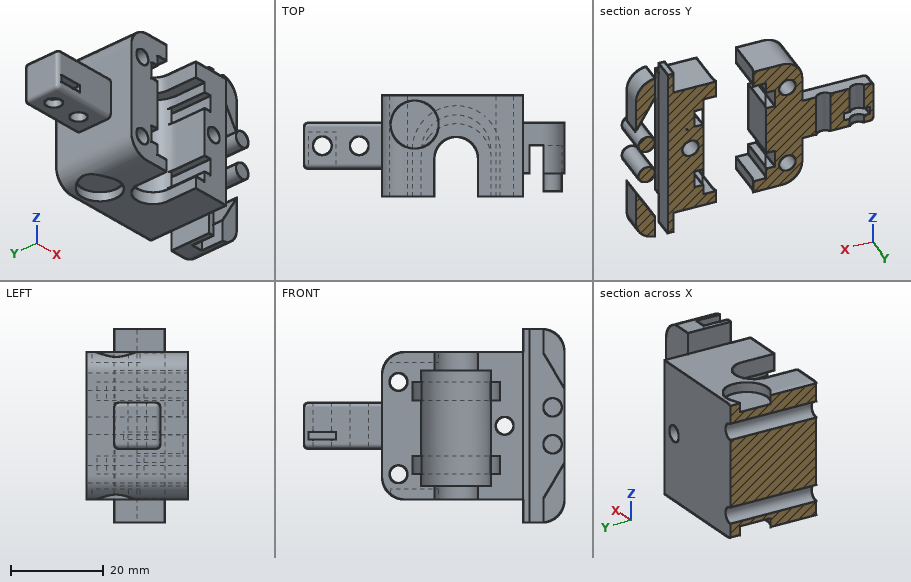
import cadquery as cq


body_length = 30.6
body_depth = 22.0
body_height = 32.0
body_corner_radius = 5.0
front_y = -body_depth / 2

bearing_x = 16.1
bearing_y = -2.8
bearing_z = -0.5
bearing_diameter = 15.2
bearing_length = 25.0
rod_clearance_diameter = 9.4

tie_outer_diameter = 19.0
tie_inner_diameter = 15.0
tie_back_offset = 2.0
tie_y = bearing_y + tie_back_offset
tie_width = 4.0
tie_spacing = 16.0

screw_diameter = 3.8
screw_left_x = 3.6
screw_spacing_x = 23.0
screw_right_x = screw_left_x + screw_spacing_x
screw_spacing_z = 20.0
screw_middle_z = bearing_z

pocket_diameter = 10.4
pocket_depth = 2.3
pocket_x = 7.1
pocket_y = 4.6

stem_length = 16.9
stem_size = 10.0
stem_edge_radius = 1.0
stem_hole_diameter = 4.0
stem_hole_tip_distance = 4.0
stem_hole_spacing = 8.0
stem_hole_count = 2
nut_slot_length = 6.0
nut_slot_height = 1.7
nut_slot_top_z = -1.3
nut_slot_depth = stem_size / 2 + nut_slot_length / 2

clamp_length = 9.0
clamp_height = 42.0
clamp_corner_radius = 5.0
clamp_back_y = 5.0
clamp_front_y = -6.0
clamp_floor_y = 0.1
clamp_wall = 1.4
belt_gap = 3.0
jaw_inner_z = 15.75
jaw_outer_z = 8.0
pin_diameter = 4.0
pin_front_y = -9.9
pin_spacing = 8.0
clamp_end_x = body_length + clamp_length
jaw_x = body_length + clamp_wall + belt_gap
pin_x = jaw_x + pin_diameter / 2


def box(x_start, x_end, y_start, y_end, z_start, z_end):
    """Box given by its limits along each axis."""
    size = (x_end - x_start, y_end - y_start, z_end - z_start)
    return cq.Workplane("XY").box(*size, centered=False).translate((x_start, y_start, z_start))


def cylinder_y(x, z, diameter, y_start, y_end):
    """Cylinder along Y between two Y positions."""
    plane = cq.Workplane("XZ", origin=(x, y_start, z))
    return plane.circle(diameter / 2).extrude(y_start - y_end)


def cylinder_z(x, y, diameter, z_start, z_end):
    """Cylinder along Z between two Z positions."""
    plane = cq.Workplane("XY", origin=(x, y, z_start))
    return plane.circle(diameter / 2).extrude(z_end - z_start)


def open_channel(diameter, center_y, length, center_z):
    """Round channel along Z in line with the bearing, opened straight out to the front."""
    radius = diameter / 2
    z_start = center_z - length / 2
    z_end = center_z + length / 2
    bore = cylinder_z(bearing_x, center_y, diameter, z_start, z_end)
    mouth = box(bearing_x - radius, bearing_x + radius, front_y, center_y, z_start, z_end)
    return bore.union(mouth)


def make_body():
    half_height = body_height / 2
    block = box(0, body_length, front_y, -front_y, -half_height, half_height)
    return block.edges("|Y and <X").fillet(body_corner_radius)


def cut_bearing_seat(part):
    rod_clearance = open_channel(rod_clearance_diameter, bearing_y, body_height, 0)
    seat = open_channel(bearing_diameter, bearing_y, bearing_length, bearing_z)
    return part.cut(rod_clearance).cut(seat)


def cut_tie_tunnels(part):
    for side in (-1, 1):
        tunnel_z = bearing_z + side * tie_spacing / 2
        outer = open_channel(tie_outer_diameter, tie_y, tie_width, tunnel_z)
        z_start = tunnel_z - tie_width / 2
        core = cylinder_z(bearing_x, tie_y, tie_inner_diameter, z_start, z_start + tie_width)
        part = part.cut(outer.cut(core))
    return part


def cut_screw_holes(part):
    positions = (
        (screw_left_x, screw_middle_z + screw_spacing_z / 2),
        (screw_left_x, screw_middle_z - screw_spacing_z / 2),
        (screw_right_x, 0),
    )
    for x, z in positions:
        part = part.cut(cylinder_y(x, z, screw_diameter, front_y, -front_y))
    return part


def cut_end_pockets(part):
    for side in (-1, 1):
        end_z = side * body_height / 2
        floor_z = end_z - side * pocket_depth
        part = part.cut(cylinder_z(pocket_x, pocket_y, pocket_diameter, floor_z, end_z))
    return part


def make_stem():
    half = stem_size / 2
    stem = box(-stem_length, 0, -half, half, -half, half)
    stem = stem.edges("|X or <X").fillet(stem_edge_radius)
    first_hole_x = -stem_length + stem_hole_tip_distance
    for index in range(stem_hole_count):
        hole_x = first_hole_x + index * stem_hole_spacing
        stem = stem.cut(cylinder_z(hole_x, 0, stem_hole_diameter, -half, half))
    nut_slot = box(
        first_hole_x - nut_slot_length / 2,
        first_hole_x + nut_slot_length / 2,
        -half,
        -half + nut_slot_depth,
        nut_slot_top_z - nut_slot_height,
        nut_slot_top_z,
    )
    return stem.cut(nut_slot)


def make_clamp():
    half_height = clamp_height / 2
    clamp = box(body_length, clamp_end_x, clamp_front_y, clamp_back_y, -half_height, half_height)
    clamp = clamp.edges("|Y and >X").fillet(clamp_corner_radius)
    gap = box(body_length + clamp_wall, jaw_x, clamp_front_y, clamp_floor_y, -half_height, half_height)
    opening = (
        cq.Workplane("XZ", origin=(0, clamp_front_y, 0))
        .moveTo(jaw_x, -jaw_inner_z)
        .lineTo(clamp_end_x, -jaw_outer_z)
        .lineTo(clamp_end_x, jaw_outer_z)
        .lineTo(jaw_x, jaw_inner_z)
        .close()
        .extrude(clamp_front_y - clamp_floor_y)
    )
    clamp = clamp.cut(gap).cut(opening)
    for side in (-1, 1):
        pin_z = side * pin_spacing / 2
        clamp = clamp.union(cylinder_y(pin_x, pin_z, pin_diameter, pin_front_y, clamp_back_y))
    return clamp


body = make_body()
body = cut_bearing_seat(body)
body = cut_tie_tunnels(body)
body = cut_screw_holes(body)
body = cut_end_pockets(body)
result = body.union(make_stem()).union(make_clamp())